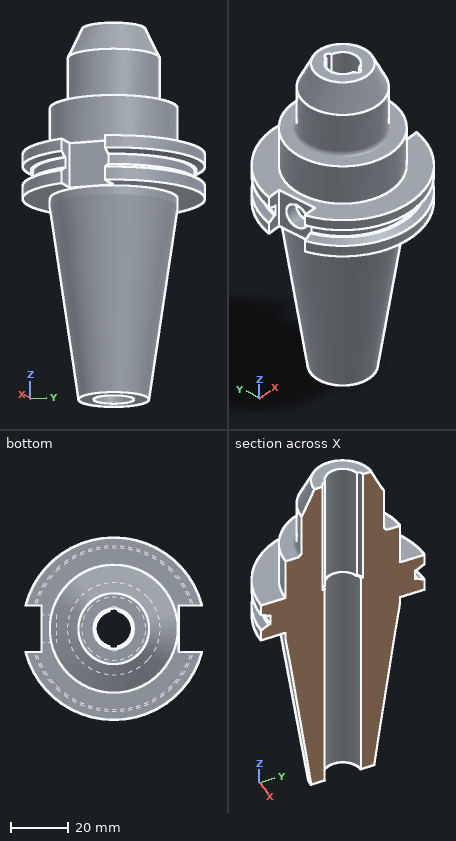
import cadquery as cq
total_height = 131.8
taper_height = 68.2
collar_height = 3.2
flange_height = 15.8
shoulder_height = 16.3
nose_height = 10.4
flange_bottom = taper_height + collar_height
flange_top = flange_bottom + flange_height
shoulder_top = flange_top + shoulder_height
nose_bottom = total_height - nose_height

taper_ratio = 7 / 24
shoulder_radius = 22.3
taper_end_radius = shoulder_radius - taper_height * taper_ratio / 2
flange_radius = 31.8
neck_radius = 16.1
neck_fillet = 1.8
nose_tip_radius = 11.1

groove_center = flange_bottom + 8.0
groove_floor_radius = 28.2
groove_step_radius = 28.9
groove_floor_width = 3.7
groove_mouth_width = 6.9

slot_width = 16.1
deep_slot_floor = 25.2
shallow_slot_floor = 22.7

dimple_radius = 4.7
dimple_depth = 5.3
dimple_center = groove_center + 0.1

bore_radius = 6.3
lower_bore_radius = 7.0
upper_bore_depth = 46.1
coolant_groove_width = 2.9
coolant_groove_reach = 7.8


def turned_body():
    fillet_start = neck_radius + neck_fillet
    fillet_top = shoulder_top + neck_fillet
    half_mouth = groove_mouth_width / 2
    half_floor = groove_floor_width / 2
    profile = (
        cq.Workplane("XZ")
        .lineTo(taper_end_radius, 0)
        .lineTo(shoulder_radius, taper_height)
        .lineTo(shoulder_radius, flange_bottom)
        .lineTo(flange_radius, flange_bottom)
        .lineTo(flange_radius, groove_center - half_mouth)
        .lineTo(groove_step_radius, groove_center - half_floor)
        .lineTo(groove_floor_radius, groove_center - half_floor)
        .lineTo(groove_floor_radius, groove_center + half_floor)
        .lineTo(groove_step_radius, groove_center + half_floor)
        .lineTo(flange_radius, groove_center + half_mouth)
        .lineTo(flange_radius, flange_top)
        .lineTo(shoulder_radius, flange_top)
        .lineTo(shoulder_radius, shoulder_top)
        .lineTo(fillet_start, shoulder_top)
        .radiusArc((neck_radius, fillet_top), neck_fillet)
        .lineTo(neck_radius, nose_bottom)
        .lineTo(nose_tip_radius, total_height)
        .lineTo(0, total_height)
        .close()
    )
    return profile.revolve(360, (0, 0, 0), (0, 1, 0))


def drive_slot(side, floor_distance):
    """Box that opens the flange on one side: -1 for -X, +1 for +X."""
    depth = flange_radius - floor_distance
    return (
        cq.Workplane("XY", origin=(side * (floor_distance + depth / 2), 0, flange_bottom))
        .box(depth, slot_width, flange_height, centered=(True, True, False))
    )


def dimple():
    return (
        cq.Workplane("YZ", origin=(-deep_slot_floor, 0, dimple_center))
        .circle(dimple_radius)
        .extrude(dimple_depth)
    )


def bore():
    step_height = total_height - upper_bore_depth
    upper = cq.Workplane("XY", origin=(0, 0, step_height)).circle(bore_radius).extrude(upper_bore_depth)
    coolant_grooves = (
        cq.Workplane("XY", origin=(0, 0, step_height))
        .slot2D(2 * coolant_groove_reach, coolant_groove_width, 90)
        .extrude(upper_bore_depth)
    )
    lower = cq.Workplane("XY").circle(lower_bore_radius).extrude(step_height)
    return upper.union(coolant_grooves).union(lower)


result = (
    turned_body()
    .cut(drive_slot(-1, deep_slot_floor))
    .cut(drive_slot(1, shallow_slot_floor))
    .cut(dimple())
    .cut(bore())
)